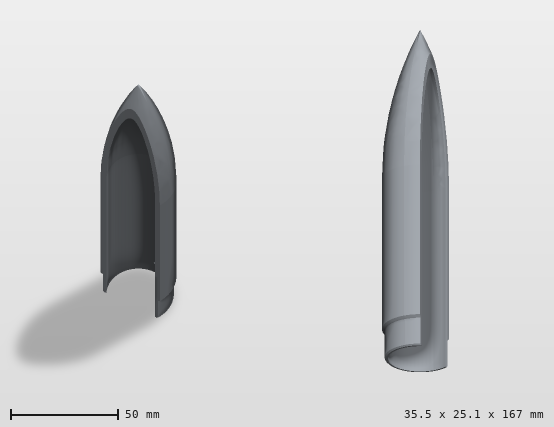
import cadquery as cq
import math

total_height = 167.0
nose_length = 76.0
outer_diameter = 35.5
wall_thickness = 2.8
inner_tip_height = 161.4
spigot_radius = 16.5
shoulder_height = 15.0
base_chamfer = 0.7
saddle_radius = 83.5
saddle_offset = 5.8
hole_diameter = 1.5
hole_height = 7.2

outer_radius = outer_diameter / 2
nose_base = total_height - nose_length
ogive_radius = (outer_radius**2 + nose_length**2) / (2 * outer_radius)
inner_radius = outer_radius - wall_thickness
inner_nose_length = inner_tip_height - nose_base
inner_ogive_radius = (inner_radius**2 + inner_nose_length**2) / (2 * inner_radius)
spigot_top = shoulder_height - (outer_radius - spigot_radius)


def arc_middle(radius, body_radius, tip_height):
    """Point halfway along a nose arc from the cylinder to its tip."""
    half_angle = math.asin((tip_height - nose_base) / radius) / 2
    return (
        body_radius - radius + radius * math.cos(half_angle),
        nose_base + radius * math.sin(half_angle),
    )


def revolve_in_halves(profile):
    """Full turn made of two half turns, which meet on the XZ plane."""
    first_half = profile.revolve(180, (0, 0, 0), (0, 1, 0))
    second_half = first_half.rotate((0, 0, 0), (0, 0, 1), 180)
    return first_half.union(second_half, clean=False)


def outer_body():
    """Pointed body with a reduced spigot at its base."""
    nose_middle = arc_middle(ogive_radius, outer_radius, total_height)
    profile = (
        cq.Workplane("XZ")
        .lineTo(spigot_radius - base_chamfer, 0)
        .lineTo(spigot_radius, base_chamfer)
        .lineTo(spigot_radius, spigot_top)
        .lineTo(outer_radius, shoulder_height)
        .lineTo(outer_radius, nose_base)
        .threePointArc(nose_middle, (0, total_height))
        .close()
    )
    return revolve_in_halves(profile)


def inner_cavity():
    """Bore with a pointed end."""
    nose_middle = arc_middle(inner_ogive_radius, inner_radius, inner_tip_height)
    profile = (
        cq.Workplane("XZ")
        .lineTo(inner_radius, 0)
        .lineTo(inner_radius, nose_base)
        .threePointArc(nose_middle, (0, inner_tip_height))
        .close()
    )
    return revolve_in_halves(profile)


def saddle_cut():
    """Large upright cylinder that removes the front of the shell."""
    return (
        cq.Workplane("XY")
        .center(0, -saddle_offset - saddle_radius)
        .circle(saddle_radius)
        .extrude(total_height)
    )


def rear_hole():
    """Small hole through the rear wall of the spigot."""
    return (
        cq.Workplane("XZ")
        .center(0, hole_height)
        .circle(hole_diameter / 2)
        .extrude(-outer_radius)
    )


result = outer_body()
for removed in (inner_cavity(), saddle_cut(), rear_hole()):
    result = result.cut(removed, clean=False)